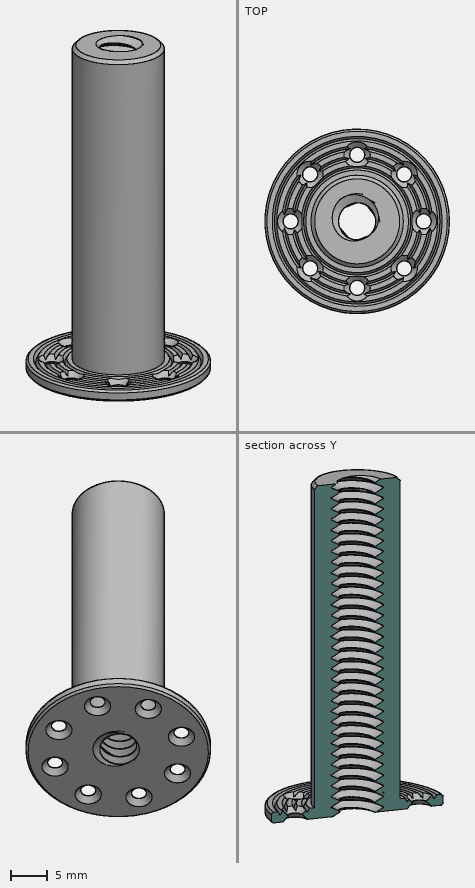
import cadquery as cq
import math

total_height = 46.88
flange_diameter = 25.0
flange_thickness = 1.6
flange_chamfer = 0.3
post_diameter = 12.5
post_chamfer = 0.5

groove_count = 4
first_groove_radius = 7.25
groove_spacing = 1.315
groove_width = 0.61
groove_flank_angle = 60.0
groove_depth = groove_width / 2 * math.tan(math.radians(groove_flank_angle))

screw_hole_count = 8
screw_circle_radius = 9.0
screw_hole_diameter = 2.0
countersink_diameter = 3.55
countersink_angle = 90.0

thread_minor_diameter = 5.0
thread_major_diameter = 7.5
thread_pitch = 1.5
thread_root_flat = 0.08
thread_crest_flat = 0.12
thread_exit_angle = 120.0
thread_runout_turns = 1
profile_overlap = 0.1


def make_body():
    """Flange with the post standing on it, both with chamfered rims."""
    flange = (
        cq.Workplane("XY")
        .circle(flange_diameter / 2)
        .extrude(flange_thickness)
        .edges()
        .chamfer(flange_chamfer)
    )
    post = (
        cq.Workplane("XY")
        .circle(post_diameter / 2)
        .extrude(total_height)
        .faces(">Z")
        .chamfer(post_chamfer)
    )
    return flange.union(post)


def make_groove(radius):
    """Ring-shaped cutter with a V section, centred on the given radius."""
    half_width = groove_width / 2
    return (
        cq.Workplane("XZ")
        .moveTo(radius - half_width, flange_thickness)
        .lineTo(radius, flange_thickness - groove_depth)
        .lineTo(radius + half_width, flange_thickness)
        .close()
        .revolve(360, (0, 0, 0), (0, 1, 0))
    )


def make_screw_hole_cutter():
    """Through hole with equal conical countersinks in both faces of the flange."""
    hole_radius = screw_hole_diameter / 2
    sink_radius = countersink_diameter / 2
    sink_depth = (sink_radius - hole_radius) / math.tan(math.radians(countersink_angle / 2))
    return (
        cq.Workplane("XZ")
        .lineTo(sink_radius, 0)
        .lineTo(hole_radius, sink_depth)
        .lineTo(hole_radius, flange_thickness - sink_depth)
        .lineTo(sink_radius, flange_thickness)
        .lineTo(0, flange_thickness)
        .close()
        .revolve(360, (0, 0, 0), (0, 1, 0))
        .translate((screw_circle_radius, 0, 0))
    )


def make_thread_cutter():
    """Helical groove from below the base to above the top of the post."""
    minor_radius = thread_minor_diameter / 2
    major_radius = thread_major_diameter / 2
    flank_height = (thread_pitch - thread_root_flat - thread_crest_flat) / 2
    half_root = thread_root_flat / 2
    half_mouth = half_root + flank_height
    inner_radius = minor_radius - profile_overlap
    half_inner = half_mouth + profile_overlap * flank_height / (major_radius - minor_radius)

    turns = math.ceil(total_height / thread_pitch) + 2 * thread_runout_turns
    helix_height = turns * thread_pitch
    start_z = total_height + thread_runout_turns * thread_pitch - helix_height
    helix = cq.Wire.makeHelix(thread_pitch, helix_height, minor_radius)
    cutter = (
        cq.Workplane("XZ")
        .polyline(
            [
                (inner_radius, -half_inner),
                (major_radius, -half_root),
                (major_radius, half_root),
                (inner_radius, half_inner),
            ]
        )
        .close()
        .sweep(cq.Workplane(obj=helix), isFrenet=True)
    )
    return cutter.rotate((0, 0, 0), (0, 0, 1), thread_exit_angle).translate((0, 0, start_z))


def make_bore():
    return cq.Workplane("XY").circle(thread_minor_diameter / 2).extrude(total_height)


result = make_body().cut(make_thread_cutter()).cut(make_bore())
for groove_index in range(groove_count):
    result = result.cut(make_groove(first_groove_radius + groove_index * groove_spacing))
screw_hole_cutter = make_screw_hole_cutter()
for hole_index in range(screw_hole_count):
    hole_angle = hole_index * 360 / screw_hole_count
    result = result.cut(screw_hole_cutter.rotate((0, 0, 0), (0, 0, 1), hole_angle))